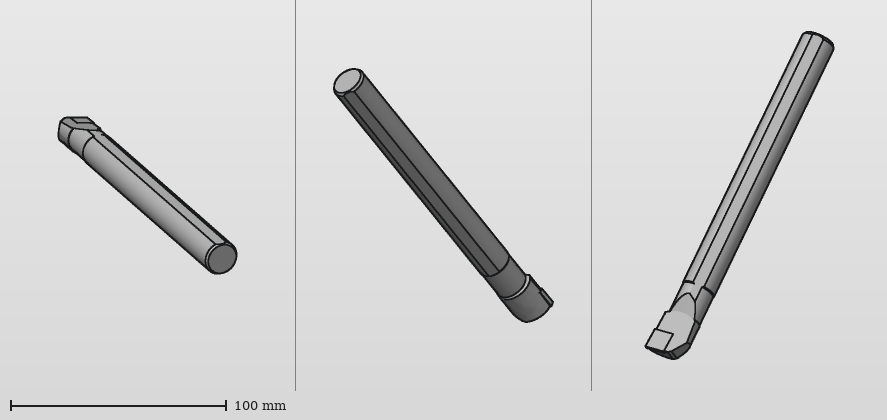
import cadquery as cq
import math

tool_length = 170.0
shank_diameter = 16.0
flat_height = 7.5
end_chamfer_length = 1.4
end_chamfer_depth = 0.8

neck_diameter = 15.5
neck_start = 19.5
neck_end = 35.0
shoulder_length = 0.5

head_side_y = -8.0
head_front_radius = 9.0
head_rear_radius = 8.7
head_joint_radius = 7.8
head_rear_x = 18.5

tip_y = 10.9
tip_z = 0.2
rake_slope_x = 0.1
rake_slope_y = 0.22
runout_radius = 11.9
runout_center_x = 9.3
runout_center_y = -10.0
runout_wall_angle = 14.0

insert_side = 9.3
insert_thickness = 2.97
insert_top_angle = -4.0
insert_front_angle = -85.0

nose_setback = 0.3
nose_front_end_y = -11.0
nose_corner = (2.2, -12.7)
nose_slant_angle = -39.0

clearance = 34.0

shank_radius = shank_diameter / 2
neck_radius = neck_diameter / 2
rake_plane = cq.Plane(
    origin=(0, tip_y, tip_z),
    xDir=(1, 0, rake_slope_x),
    normal=(-rake_slope_x, rake_slope_y, 1),
)


def polar(length, angle):
    """Offset of the given length along a direction in degrees."""
    direction = math.radians(angle)
    return length * math.cos(direction), length * math.sin(direction)


def head_section(x, radius):
    """Circular wire across the X axis, touching the head's -Y side line."""
    center_y = head_side_y + radius
    near = cq.Vector(x, head_side_y, 0)
    far = cq.Vector(x, center_y + radius, 0)
    lower_arc = cq.Edge.makeThreePointArc(near, cq.Vector(x, center_y, -radius), far)
    upper_arc = cq.Edge.makeThreePointArc(far, cq.Vector(x, center_y, radius), near)
    return cq.Wire.assembleEdges([lower_arc, upper_arc])


def make_shank_and_neck():
    """Turned bar with a top flat throughout and a bottom flat on the shank."""
    bar = (
        cq.Workplane("XY")
        .moveTo(neck_start, 0)
        .lineTo(neck_start, neck_radius)
        .lineTo(neck_end, neck_radius)
        .lineTo(neck_end + shoulder_length, shank_radius)
        .lineTo(tool_length - end_chamfer_length, shank_radius)
        .lineTo(tool_length, shank_radius - end_chamfer_depth)
        .lineTo(tool_length, 0)
        .close()
        .revolve(360, (0, 0, 0), (1, 0, 0))
    )
    flat_cut = cq.Workplane("XY").box(
        tool_length, shank_diameter, shank_diameter, centered=(False, True, False)
    )
    top_cut = flat_cut.translate((neck_start, 0, flat_height))
    bottom_cut = flat_cut.translate((neck_end, 0, -flat_height - shank_diameter))
    return bar.cut(top_cut).cut(bottom_cut)


def make_head_blank():
    """Tapered round head with a short conical step down to the neck."""
    front = head_section(0, head_front_radius)
    rear = head_section(head_rear_x, head_rear_radius)
    neck_joint = head_section(neck_start, head_joint_radius)
    taper = cq.Solid.makeLoft([front, rear], True)
    step = cq.Solid.makeLoft([rear, neck_joint], True)
    return cq.Workplane(taper).union(cq.Workplane(step))


def make_rake_cut():
    """Volume above the rake face, ending in a conical runout towards the neck."""
    depth = shank_diameter
    spread = depth / math.tan(math.radians(runout_wall_angle))
    cone = cq.Solid.makeCone(runout_radius, runout_radius + spread, depth).moved(
        cq.Location(rake_plane) * cq.Location(cq.Vector(runout_center_x, runout_center_y, 0))
    )
    front_block = (
        cq.Workplane(rake_plane)
        .center(runout_center_x - clearance / 2, runout_center_y)
        .rect(clearance, 2 * runout_radius)
        .extrude(depth)
    )
    return front_block.union(cq.Workplane(cone))


def make_nose_cut():
    """Volume ahead of the front, corner and slanted nose faces."""
    front_slope = 1 / math.tan(math.radians(insert_front_angle))
    slant_x, slant_y = polar(clearance, nose_slant_angle)
    return (
        cq.Workplane(rake_plane)
        .moveTo(nose_setback + front_slope * clearance, clearance)
        .lineTo(nose_setback + front_slope * nose_front_end_y, nose_front_end_y)
        .lineTo(*nose_corner)
        .lineTo(nose_corner[0] + slant_x, nose_corner[1] + slant_y)
        .lineTo(-clearance, nose_corner[1] + slant_y)
        .lineTo(-clearance, clearance)
        .close()
        .extrude(clearance / 2, both=True)
    )


def make_insert():
    """Rhombic cutting plate hanging below the rake face."""
    top_x, top_y = polar(insert_side, insert_top_angle)
    front_x, front_y = polar(insert_side, insert_front_angle)
    return (
        cq.Workplane(rake_plane)
        .polyline([(0, 0), (top_x, top_y), (top_x + front_x, top_y + front_y), (front_x, front_y)])
        .close()
        .extrude(-insert_thickness)
    )


insert = make_insert()
holder = make_shank_and_neck().union(make_head_blank())
holder = holder.cut(make_rake_cut()).cut(make_nose_cut()).cut(insert)

result = cq.Compound.makeCompound([holder.solids().val(), insert.val()])